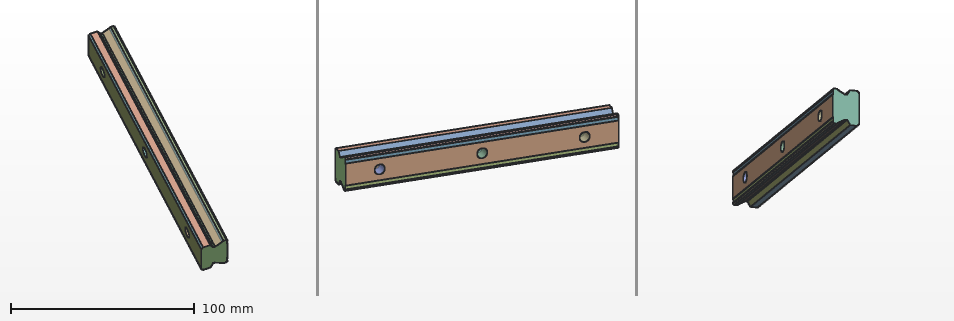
import cadquery as cq

length = 160.0
depth = 15.5
height = 20.0
half_height = height / 2

front_chamfer = 1.1
back_chamfer = 0.8

groove_start = 5.3
groove_floor_start = 7.0
groove_floor_end = 8.2
groove_depth = 2.9
groove_bend = 12.0
groove_bend_depth = 0.8
groove_end = 13.1

back_land_height = 13.1
back_recess_top = 8.8
back_recess_depth = 0.3

hole_diameter = 6.0
hole_pitch = 60.0
hole_count = 3


def rail_body():
    """Extrude a section that is symmetric about its middle height."""
    recess_floor = depth - back_recess_depth
    land_top = back_land_height / 2
    upper_half = [
        (0, half_height - front_chamfer),
        (front_chamfer, half_height),
        (groove_start, half_height),
        (groove_floor_start, half_height - groove_depth),
        (groove_floor_end, half_height - groove_depth),
        (groove_bend, half_height - groove_bend_depth),
        (groove_end, half_height),
        (depth - back_chamfer, half_height),
        (depth, half_height - back_chamfer),
        (depth, back_recess_top),
        (recess_floor, back_recess_top),
        (recess_floor, land_top),
        (depth, land_top),
    ]
    lower_half = [(y, -z) for y, z in reversed(upper_half)]
    section = [(y - depth / 2, z) for y, z in upper_half + lower_half]
    return cq.Workplane("YZ").polyline(section).close().extrude(length / 2, both=True)


def hole_cutters():
    """Row of cylinders through the full depth, centred along the rail."""
    return (
        cq.Workplane("XZ")
        .rarray(hole_pitch, 1.6, hole_count, 1)
        .circle(hole_diameter / 2)
        .extrude(depth, both=True)
    )


result = rail_body().cut(hole_cutters())